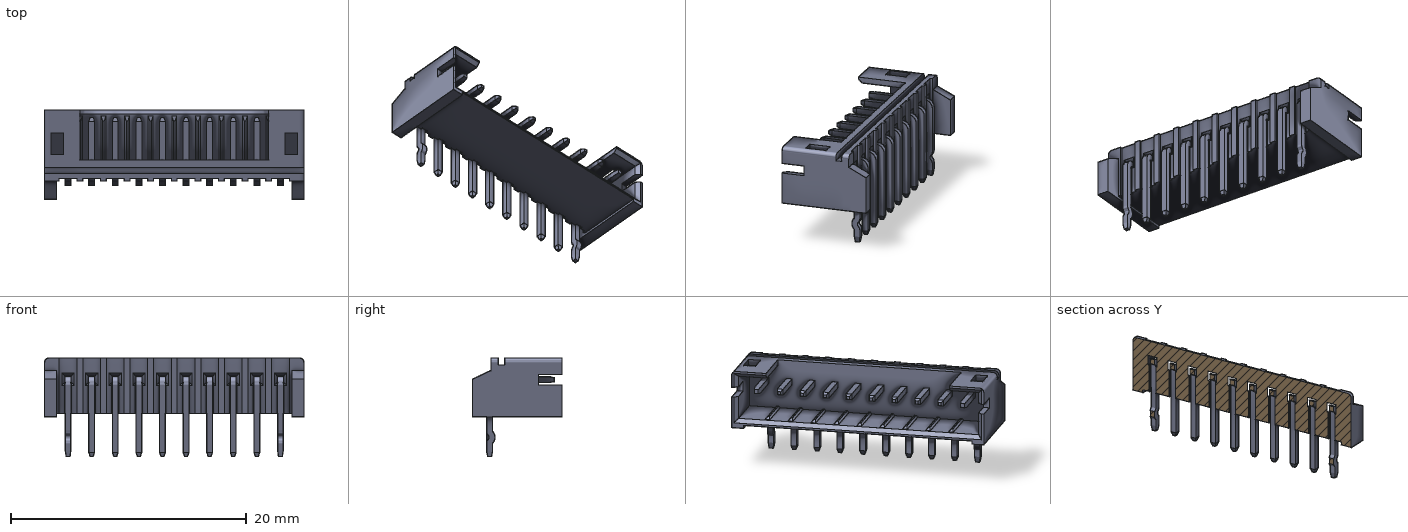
import cadquery as cq
import math


PIN_COUNT = 10

LENGTH = 22.0
PITCH = LENGTH / (PIN_COUNT + 1)
DEPTH = 7.6
TOP = 5.0
BOTTOM = 0.26
BACK = 1.56
EDGE_RADIUS = 0.4

WING_WIDTH = 1.03
WING_ROOT_Z = 3.94
WING_TIP_Z = 3.2

SIDE_WALL = 0.53
ROOF = 0.5
FLOOR = 0.5
CAVITY_BACK = 3.35
LEAD_IN = 0.33

ROOF_GAP_LENGTH = (PIN_COUNT - 2) * PITCH
ROOF_HOLE_LENGTH = 1.03
ROOF_HOLE_DEPTH = 1.83
ROOF_HOLE_Y = 4.73
ROOF_HOLE_MARGIN = 0.57
END_SLOT_BACK = 5.6
END_SLOT_LOW = 2.7
END_SLOT_HIGH = 3.56

GROOVE_BACK = 2.2
GROOVE_WIDTH = 0.53
GROOVE_DEPTH = 0.6

RIDGE_BASE = 0.42
RIDGE_CREST = 0.13
RIDGE_HEIGHT = 0.15
RIDGE_FRONT = 7.06
RIDGE_SLOPE = 0.42

RECESS_WIDTH = 1.5
RECESS_DEPTH = 0.2
FUNNEL_MOUTH = 1.03
FUNNEL_THROAT = 0.5
FUNNEL_DEPTH = 0.25
FUNNEL_Z = 3.2
RELIEF_WIDTH = 0.62
RELIEF_DEPTH = 0.18

PIN_SIZE = 0.5
END_PIN_WIDTH = 0.48
PIN_AXIS_Y = 1.45
PIN_AXIS_Z = 3.15
PIN_FRONT = 6.95
PIN_BOTTOM = -3.37
PIN_BEND = 0.46
PIN_TIP = 0.35
PIN_TIP_SCALE = 0.5
END_PIN_TIP = 0.48
END_PIN_TIP_SCALE = 0.7

KINK_Z = -1.74
KINK_ENTRY_RADIUS = 0.29
KINK_PEAK_RADIUS = 0.5
KINK_ANGLE = 43.0

pin_places = [(i - (PIN_COUNT - 1) / 2) * PITCH for i in range(PIN_COUNT)]
ridge_places = [x + PITCH / 2 for x in pin_places[:-1]]
recess_face = BACK + RECESS_DEPTH
cavity_floor = BOTTOM + FLOOR
cavity_top = TOP - ROOF


def box(x_size, y_range, z_range, x_center=0.0):
    """Block centred on x_center that fills the given Y and Z ranges."""
    y_low, y_high = y_range
    z_low, z_high = z_range
    block = cq.Workplane("XY").box(x_size, y_high - y_low, z_high - z_low, centered=(True, False, False))
    return block.translate((x_center, y_low, z_low))


def frustum_along_y(start, start_size, end, end_size):
    """Solid between two rectangles square to Y, given their centres and (X, Z) sizes."""
    reach = end[1] - start[1]
    plane = cq.Plane(origin=start, xDir=(1, 0, 0), normal=(0, math.copysign(1, reach), 0))
    return cq.Workplane(plane).rect(*start_size).workplane(offset=abs(reach)).rect(*end_size).loft()


def make_shell():
    """Main block with rounded top edges and a wing at each end."""
    shell = box(LENGTH, (BACK, DEPTH), (0, TOP))
    shell = shell.edges("|Y and >Z").fillet(EDGE_RADIUS)
    shell = shell.cut(box(LENGTH - 2 * WING_WIDTH, (BACK, DEPTH), (0, BOTTOM)))
    wing_outline = [(0, 0), (BACK, 0), (BACK, WING_ROOT_Z), (0, WING_TIP_Z)]
    wing = cq.Workplane("YZ").polyline(wing_outline).close().extrude(WING_WIDTH)
    shell = shell.union(wing.translate((-LENGTH / 2, 0, 0)))
    return shell.union(wing.translate((LENGTH / 2 - WING_WIDTH, 0, 0)))


def make_cavity():
    """Space for the mating plug, flared at the mouth."""
    width = LENGTH - 2 * SIDE_WALL
    height = cavity_top - cavity_floor
    middle_z = (cavity_top + cavity_floor) / 2
    cavity = box(width, (CAVITY_BACK, DEPTH), (cavity_floor, cavity_top))
    flare = frustum_along_y(
        (0, DEPTH - LEAD_IN, middle_z),
        (width, height),
        (0, DEPTH, middle_z),
        (width + 2 * LEAD_IN, height + 2 * LEAD_IN),
    )
    return cavity.union(flare)


def cut_openings(body):
    """Roof gap, two roof holes, end wall slots and the groove along the top."""
    body = body.cut(box(ROOF_GAP_LENGTH, (CAVITY_BACK, DEPTH), (cavity_floor, TOP)))
    body = body.cut(box(LENGTH, (END_SLOT_BACK, DEPTH), (END_SLOT_LOW, END_SLOT_HIGH)))
    body = body.cut(box(LENGTH, (GROOVE_BACK, GROOVE_BACK + GROOVE_WIDTH), (TOP - GROOVE_DEPTH, TOP)))
    hole_x = LENGTH / 2 - ROOF_HOLE_MARGIN - ROOF_HOLE_LENGTH / 2
    hole_y = (ROOF_HOLE_Y - ROOF_HOLE_DEPTH / 2, ROOF_HOLE_Y + ROOF_HOLE_DEPTH / 2)
    for x in (-hole_x, hole_x):
        body = body.cut(box(ROOF_HOLE_LENGTH, hole_y, (cavity_top, TOP), x))
    return body


def make_recess(x):
    """Recess in the back with the funnel and relief slot around one pin."""
    recess = box(RECESS_WIDTH, (BACK, recess_face), (BOTTOM, TOP), x)
    funnel = frustum_along_y(
        (x, recess_face, FUNNEL_Z),
        (FUNNEL_MOUTH, FUNNEL_MOUTH),
        (x, recess_face + FUNNEL_DEPTH, FUNNEL_Z),
        (FUNNEL_THROAT, FUNNEL_THROAT),
    )
    relief = box(RELIEF_WIDTH, (recess_face, recess_face + RELIEF_DEPTH), (BOTTOM, FUNNEL_Z), x)
    return recess.union(funnel).union(relief)


def make_ridge(x):
    """Tapered ridge on the cavity floor with a sloping front end."""
    section = [
        (-RIDGE_BASE / 2, 0),
        (RIDGE_BASE / 2, 0),
        (RIDGE_CREST / 2, RIDGE_HEIGHT),
        (-RIDGE_CREST / 2, RIDGE_HEIGHT),
    ]
    run = RIDGE_FRONT - CAVITY_BACK
    ridge = cq.Workplane("XZ").polyline(section).close().extrude(-run)
    nose = [(run, 0), (run, RIDGE_HEIGHT), (run - RIDGE_SLOPE, RIDGE_HEIGHT)]
    ridge = ridge.cut(cq.Workplane("YZ").polyline(nose).close().extrude(RIDGE_BASE / 2, both=True))
    return ridge.translate((x, CAVITY_BACK, cavity_floor))


def add_kink(path):
    """Extend a downward (Y, Z) path through the sideways kink: an entry arc, a peak arc and an exit arc."""
    angle = math.radians(KINK_ANGLE)
    half_length = (KINK_ENTRY_RADIUS + KINK_PEAK_RADIUS) * math.sin(angle)
    peak_shift = (KINK_ENTRY_RADIUS + KINK_PEAK_RADIUS) * (1 - math.cos(angle))
    peak_rise = KINK_PEAK_RADIUS * math.sin(angle)
    start_z = KINK_Z + half_length
    end_z = KINK_Z - half_length
    join_y = PIN_AXIS_Y + KINK_ENTRY_RADIUS * (1 - math.cos(angle))
    entry_middle_y = PIN_AXIS_Y + KINK_ENTRY_RADIUS * (1 - math.cos(angle / 2))
    entry_middle_drop = KINK_ENTRY_RADIUS * math.sin(angle / 2)
    path = path.lineTo(PIN_AXIS_Y, start_z)
    path = path.threePointArc((entry_middle_y, start_z - entry_middle_drop), (join_y, KINK_Z + peak_rise))
    path = path.threePointArc((PIN_AXIS_Y + peak_shift, KINK_Z), (join_y, KINK_Z - peak_rise))
    return path.threePointArc((entry_middle_y, end_z + entry_middle_drop), (PIN_AXIS_Y, end_z))


def make_pin(width, tip, tip_scale, kinked):
    """Square-bent pin at X = 0 with a tapered tip at both ends."""
    size = (width, PIN_SIZE)
    tip_size = (width * tip_scale, PIN_SIZE * tip_scale)
    bend_offset = PIN_BEND * (1 - math.sqrt(0.5))
    path = cq.Workplane("YZ").moveTo(PIN_FRONT - tip, PIN_AXIS_Z)
    path = path.lineTo(PIN_AXIS_Y + PIN_BEND, PIN_AXIS_Z)
    path = path.threePointArc(
        (PIN_AXIS_Y + bend_offset, PIN_AXIS_Z - bend_offset),
        (PIN_AXIS_Y, PIN_AXIS_Z - PIN_BEND),
    )
    if kinked:
        path = add_kink(path)
    path = path.lineTo(PIN_AXIS_Y, PIN_BOTTOM + tip)
    start = (0, PIN_FRONT - tip, PIN_AXIS_Z)
    pin = cq.Workplane("XZ", origin=start).rect(*size).sweep(path)
    front_tip = frustum_along_y(start, size, (0, PIN_FRONT, PIN_AXIS_Z), tip_size)
    foot = cq.Workplane("XY", origin=(0, PIN_AXIS_Y, PIN_BOTTOM))
    foot_tip = foot.rect(*tip_size).workplane(offset=tip).rect(*size).loft()
    return pin.union(front_tip).union(foot_tip)


housing = cut_openings(make_shell().cut(make_cavity()))
for place in pin_places:
    housing = housing.cut(make_recess(place))
for place in ridge_places:
    housing = housing.union(make_ridge(place))

inner_pin = make_pin(PIN_SIZE, PIN_TIP, PIN_TIP_SCALE, kinked=False)
end_pin = make_pin(END_PIN_WIDTH, END_PIN_TIP, END_PIN_TIP_SCALE, kinked=True)
result = housing
for place in pin_places:
    is_end = place in (pin_places[0], pin_places[-1])
    pin = end_pin if is_end else inner_pin
    result = result.union(pin.translate((place, 0, 0)))